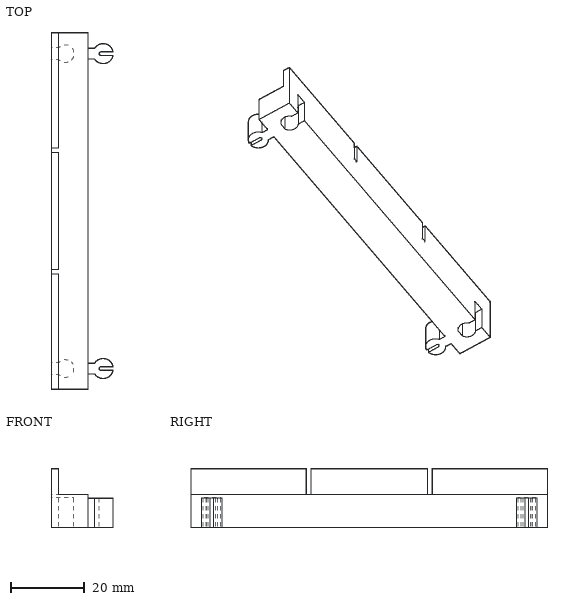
import cadquery as cq
import math

rail_length = 97.0
rail_height = 16.0
plate_thickness = 2.0
base_width = 10.0
base_height = 9.0

notch_width = 1.2
notch_pitch = 33.0

connector_offset = 5.7
connector_y = rail_length / 2 - connector_offset

stud_reach = 6.8
stud_radius = 2.75
stud_neck_width = 3.0
stud_height = 8.0
slit_width = 0.9
slit_length = 3.8

stud_head_distance = stud_reach - math.sqrt(stud_radius**2 - (slit_width / 2)**2)

socket_head_distance = 3.8
socket_radius = 2.4
socket_neck_width = 3.2
socket_height = 8.2
socket_end_width = 2.05


def make_rail():
    """L-shaped profile in XZ, extruded symmetrically along Y."""
    profile = [
        (0, 0),
        (base_width, 0),
        (base_width, base_height),
        (plate_thickness, base_height),
        (plate_thickness, rail_height),
        (0, rail_height),
    ]
    return cq.Workplane("XZ").polyline(profile).close().extrude(rail_length / 2, both=True)


def make_notch(y):
    """Cutter for one plate notch, reaching down to the top of the base."""
    return (
        cq.Workplane("XY", origin=(0, y, base_height))
        .rect(2 * plate_thickness, notch_width)
        .extrude(rail_height - base_height)
    )


def make_keyhole(x, y, head_distance, neck_width, radius, height):
    """Straight neck from x toward +X that ends in a round head."""
    neck = (
        cq.Workplane("XY", origin=(x, y, 0))
        .rect(head_distance, neck_width)
        .extrude(height)
        .translate((head_distance / 2, 0, 0))
    )
    head = cq.Workplane("XY", origin=(x + head_distance, y, 0)).circle(radius).extrude(height)
    return neck.union(head)


def make_slit(y):
    """Cutter for the round-ended slit that lets a stud head flex."""
    tip_x = base_width + stud_reach
    return (
        cq.Workplane("XY", origin=(tip_x, y, 0))
        .slot2D(2 * slit_length, slit_width)
        .extrude(stud_height)
    )


def make_stud(y):
    stud = make_keyhole(base_width, y, stud_head_distance, stud_neck_width, stud_radius, stud_height)
    return stud.cut(make_slit(y))


def make_socket(y):
    """Cutter for one socket, its round end cut short by a flat wall."""
    socket = make_keyhole(0, y, socket_head_distance, socket_neck_width, socket_radius, socket_height)
    depth = socket_head_distance + math.sqrt(socket_radius**2 - (socket_end_width / 2)**2)
    limit = cq.Workplane("XY", origin=(0, y, 0)).rect(2 * depth, 2 * socket_radius).extrude(socket_height)
    return socket.intersect(limit)


result = make_rail()
for side in (-1, 1):
    result = result.cut(make_notch(side * notch_pitch / 2))
    result = result.cut(make_socket(side * connector_y))
    result = result.union(make_stud(side * connector_y))